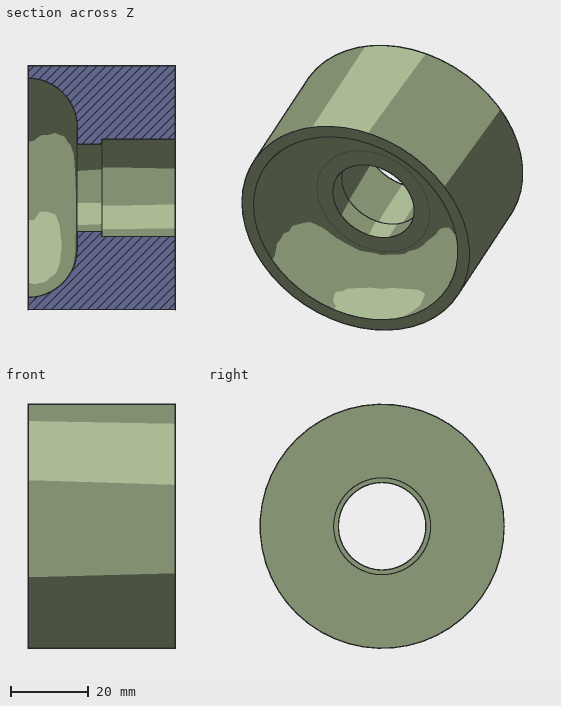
import cadquery as cq

outer_diameter = 63.0
width = 38.0
front_x = -width / 2
back_x = width / 2

bore_diameter = 22.5
back_bore_diameter = 25.0
bore_step_x = 0.0

rim_diameter = 56.5
floor_diameter = 31.2
dish_radius = (rim_diameter - floor_diameter) / 2
floor_x = front_x + dish_radius


def make_body():
    """Plain cylinder spanning the full width."""
    disc = cq.Workplane("YZ", origin=(front_x, 0, 0)).circle(outer_diameter / 2)
    return disc.extrude(width)


def make_dish():
    """Recess that sweeps from the rim down to a flat floor."""
    profile = (
        cq.Workplane("XY")
        .moveTo(front_x, 0)
        .lineTo(floor_x, 0)
        .lineTo(floor_x, floor_diameter / 2)
        .radiusArc((front_x, rim_diameter / 2), -dish_radius)
        .close()
    )
    return profile.revolve(360, (0, 0, 0), (1, 0, 0))


def make_bore():
    """Through bore, widened behind the step."""
    front_bore = cq.Workplane("YZ", origin=(front_x, 0, 0)).circle(bore_diameter / 2).extrude(width)
    back_bore = (
        cq.Workplane("YZ", origin=(bore_step_x, 0, 0))
        .circle(back_bore_diameter / 2)
        .extrude(back_x - bore_step_x)
    )
    return front_bore.union(back_bore)


result = make_body().cut(make_dish()).cut(make_bore())